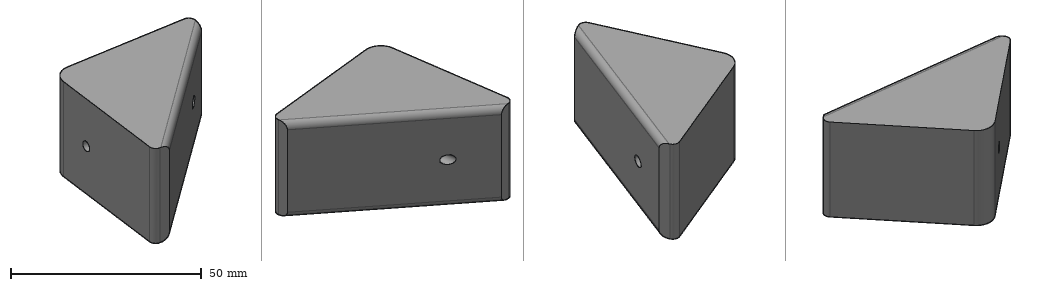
import cadquery as cq

leg = 45.0
height = 30.0
tip_width = 5.0
corner_radius = 5.0
tip_radius = 2.0
slope_radius = 2.0
hole_diameter = 3.0
hole_x = leg / 3


def make_body():
    """Triangular prism with blunt tips, right-angled corner at the origin."""
    outline = [(0, 0), (leg, 0), (leg, tip_width), (tip_width, leg), (0, leg)]
    return cq.Workplane("XY").polyline(outline).close().extrude(height)


def round_upright_edge(body, x, y, radius):
    """Round the upright edge that stands nearest to (x, y)."""
    edge = cq.selectors.NearestToPointSelector((x, y, height / 2))
    return body.edges("|Z").edges(edge).fillet(radius)


def make_hole():
    """Round hole along Y at mid height, running out through the sloping face."""
    return (
        cq.Workplane("XZ", origin=(hole_x, 0, height / 2))
        .circle(hole_diameter / 2)
        .extrude(-leg)
    )


body = make_body()
body = round_upright_edge(body, 0, 0, corner_radius)
for tip_x, tip_y in [(leg, 0), (0, leg)]:
    body = round_upright_edge(body, tip_x, tip_y, tip_radius)

body = body.faces(cq.selectors.DirectionMinMaxSelector(cq.Vector(1, 1, 0))).edges("#Z").fillet(slope_radius)

result = body.cut(make_hole())